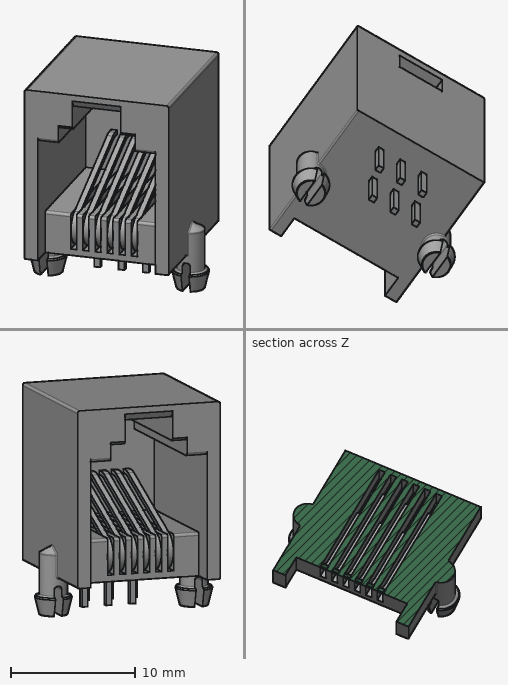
import cadquery as cq
import math

overall_width = 15.03
housing_width = 12.21
housing_depth = 13.0
housing_bottom = 3.15
housing_top = 17.7
top_edge_radius = 0.21
bottom_edge_radius = 0.15
rear_wall = 0.5
front_y = -housing_depth / 2
cavity_rear_y = housing_depth / 2 - rear_wall

plug_width = 9.95
plug_top = 13.42
rail_width = 6.51
rail_top = 14.73
latch_width = 4.07
latch_top = 16.67
plug_lip_radius = 0.25
rail_lip_height = 0.21
rail_lip_depth = 0.18
latch_lip_height = 0.51
latch_lip_depth = 0.25

block_setback = 1.95
block_top = 6.7
block_edge_radius = 0.23
block_front_y = front_y + block_setback

contact_count = 6
contact_pitch = 1.03
strip_width = 0.5
arm_thickness = 0.35
slot_floor = 3.7
bend_radius = 1.5
slope_angle = 22.5
arm_top = 10.21
front_bend_gap = 0.07
near_leg_y = 1.79
far_leg_y = 4.34

peg_y = -0.5
peg_radius = 1.15
peg_shoulder = 5.06
peg_tip = 5.72
peg_root_radius = 0.1
barb_radius = 1.5
peg_x = overall_width / 2 - barb_radius
barb_tip_radius = 1.17
barb_widest = 1.43
barb_top = 1.58
barb_edge = 0.07
barb_root_radius = 0.15
barb_tip_chamfer = 0.05
shoulder_radius = 0.09
seam_margin = 0.02
peg_slot_width = 0.67
peg_slot_top = 2.48


def box(width, y_start, y_end, z_start, z_end):
    """Block centred on X, between two Y and two Z planes."""
    block = cq.Workplane("XY").box(
        width, y_end - y_start, z_end - z_start, centered=(True, False, False)
    )
    return block.translate((0, y_start, z_start))


def across(profile, width):
    """Extrude a YZ outline symmetrically along X."""
    return profile.close().extrude(width / 2, both=True)


def housing_shell():
    """Plain outer box with its four long edges rounded."""
    shell = box(housing_width, front_y, -front_y, housing_bottom, housing_top)
    shell = shell.edges("|Y and >Z").fillet(top_edge_radius)
    return shell.edges("|Y and <Z").fillet(bottom_edge_radius)


def peg():
    """Turned peg with a conical tip and a tapered barb."""
    body = (
        cq.Workplane("XZ")
        .moveTo(0, 0)
        .lineTo(barb_tip_radius - barb_tip_chamfer, 0)
        .lineTo(barb_tip_radius, barb_tip_chamfer)
        .lineTo(barb_radius, barb_widest)
        .lineTo(barb_radius - barb_edge, barb_top)
        .lineTo(peg_radius + barb_root_radius, barb_top)
        .radiusArc((peg_radius, barb_top + barb_root_radius), barb_root_radius)
        .lineTo(peg_radius, peg_shoulder)
        .lineTo(0, peg_tip)
        .close()
        .revolve(360, (0, 0), (0, 1))
    )
    shoulder = cq.selectors.NearestToPointSelector((0, 0, peg_shoulder))
    return body.edges("%CIRCLE").edges(shoulder).fillet(shoulder_radius)


def peg_slot():
    """Round-topped slot along Y that splits the barb into two springs."""
    half = peg_slot_width / 2
    return (
        cq.Workplane("XZ")
        .moveTo(-half, 0)
        .lineTo(-half, peg_slot_top - half)
        .threePointArc((0, peg_slot_top), (half, peg_slot_top - half))
        .lineTo(half, 0)
        .close()
        .extrude(barb_radius, both=True)
    )


def opening():
    """Stepped cavity with lead-ins at its front edges; the latch step also leaves at the rear."""
    plug = box(plug_width, front_y, cavity_rear_y, housing_bottom, plug_top)
    rail = box(rail_width, front_y, cavity_rear_y, housing_bottom, rail_top)
    latch = box(latch_width, front_y, -front_y, rail_top, latch_top)
    plug_lip = across(
        cq.Workplane("YZ")
        .moveTo(front_y, plug_top)
        .lineTo(front_y, plug_top + plug_lip_radius)
        .radiusArc((front_y + plug_lip_radius, plug_top), -plug_lip_radius),
        plug_width,
    )
    rail_lip = across(
        cq.Workplane("YZ")
        .moveTo(front_y, rail_top)
        .lineTo(front_y, rail_top + rail_lip_height)
        .lineTo(front_y + rail_lip_depth, rail_top),
        rail_width,
    )
    latch_lip = across(
        cq.Workplane("YZ")
        .moveTo(front_y, latch_top)
        .lineTo(front_y, latch_top + latch_lip_height)
        .lineTo(front_y + latch_lip_depth, latch_top),
        latch_width,
    )
    return plug.union(rail).union(latch).union(plug_lip).union(rail_lip).union(latch_lip)


def contact_block():
    """Floor block with a rounded upper front edge."""
    block = box(plug_width, block_front_y, cavity_rear_y, housing_bottom, block_top)
    return block.edges("<Y and >Z").fillet(block_edge_radius)


def contact(x, leg_y):
    """Strip that runs from the rear wall down the slope, round the front bend and back to its leg."""
    slope = math.radians(slope_angle)
    radius = bend_radius - arm_thickness / 2
    level_z = arm_top - arm_thickness / 2
    floor_z = slot_floor + arm_thickness / 2
    front_y_centre = block_front_y + front_bend_gap + bend_radius
    front_z_centre = floor_z + radius

    def around(y, z, angle):
        return (y + radius * math.cos(angle), z + radius * math.sin(angle))

    slope_normal = math.pi / 2 + slope
    front_start = around(front_y_centre, front_z_centre, slope_normal)
    rear_z_centre = level_z - radius
    rear_end_z = rear_z_centre + radius * math.sin(slope_normal)
    rear_end_y = front_start[0] + (rear_end_z - front_start[1]) / math.tan(slope)
    rear_y_centre = rear_end_y - radius * math.cos(slope_normal)
    path = (
        cq.Workplane("YZ")
        .moveTo(cavity_rear_y, level_z)
        .lineTo(rear_y_centre, level_z)
        .threePointArc(
            around(rear_y_centre, rear_z_centre, math.pi / 2 + slope / 2),
            (rear_end_y, rear_end_z),
        )
        .lineTo(*front_start)
        .threePointArc(
            around(front_y_centre, front_z_centre, math.pi),
            (front_y_centre, floor_z),
        )
        .lineTo(leg_y, floor_z)
    )
    strip = (
        cq.Workplane("XZ", origin=(0, cavity_rear_y, level_z))
        .rect(strip_width, arm_thickness)
        .sweep(path)
    )
    leg = box(strip_width, leg_y - strip_width / 2, leg_y + strip_width / 2, 0, slot_floor + arm_thickness)
    return strip.union(leg).translate((x, 0, 0))


def add_peg(body, side):
    """Join one peg to the housing and round the seam where it meets the side wall and underside."""
    turn = 0 if side < 0 else 180
    placed = peg().rotate((0, 0, 0), (0, 0, 1), turn).translate((side * peg_x, peg_y, 0))
    wall_x = side * (housing_width / 2 + seam_margin)
    inner_x = side * (peg_x - peg_radius - seam_margin)
    reach = peg_radius + seam_margin
    seam = cq.selectors.BoxSelector(
        (inner_x, peg_y - reach, housing_bottom - seam_margin),
        (wall_x, peg_y + reach, peg_tip),
        boundingbox=True,
    )
    joined = body.union(placed).edges(seam).fillet(peg_root_radius)
    return joined.cut(peg_slot().translate((side * peg_x, peg_y, 0)))


def contact_recess(x, leg_y):
    """Block slot for one contact and the hole where its leg leaves through the floor."""
    slot = box(strip_width, block_front_y, cavity_rear_y, slot_floor, block_top)
    leg_hole = box(strip_width, leg_y - strip_width / 2, leg_y + strip_width / 2, housing_bottom, slot_floor)
    return slot.union(leg_hole).translate((x, 0, 0))


housing = housing_shell()
for side in (-1, 1):
    housing = add_peg(housing, side)
housing = housing.cut(opening().cut(contact_block()))

contacts = []
for index in range(contact_count):
    contact_x = (index - (contact_count - 1) / 2) * contact_pitch
    leg_row_y = near_leg_y if index % 2 == 0 else far_leg_y
    housing = housing.cut(contact_recess(contact_x, leg_row_y))
    contacts.append(contact(contact_x, leg_row_y))

result = cq.Compound.makeCompound([housing.val(), *[piece.val() for piece in contacts]])